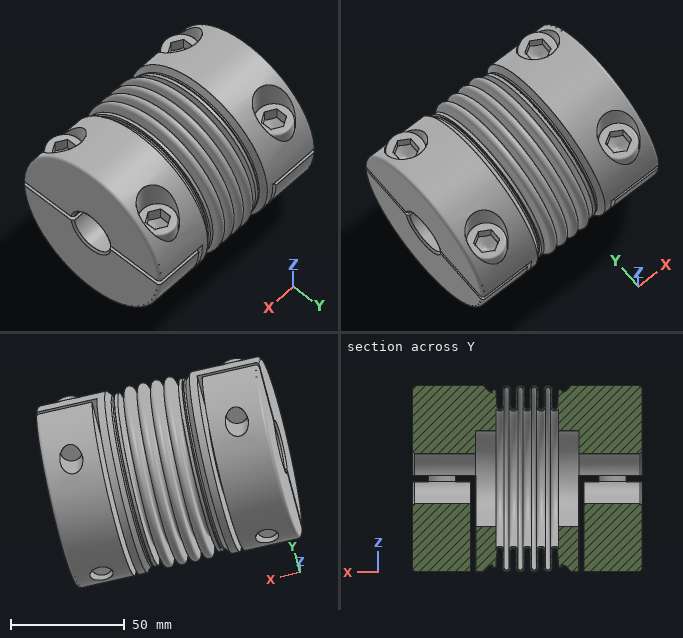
import cadquery as cq
import math

length = 100.9
outer_diameter = 82.0
half_length = length / 2
outer_radius = outer_diameter / 2
end_fillet = 1.6

bore_diameter = 21.8
bore_chamfer = 1.0
cavity_radius = 21.0

shoulder_x = 19.2
neck_start_x = 16.8
neck_end_x = 16.0
collar_start_x = 15.3
collar_end_x = 13.7
neck_radius = 76.8 / 2
collar_radius = 78.0 / 2
neck_chamfer_drop = 0.7

split_width = 2.6
cross_slot_inner_x = 22.7
cross_slot_width = 2.2

crest_count = 4
crest_pitch = 6.1
sheet_thickness = 0.86
crest_outer_radius = (crest_pitch / 2 + sheet_thickness) / 2
crest_inner_radius = crest_outer_radius - sheet_thickness
valley_bottom_radius = 30.6
crest_center_radius = outer_radius - crest_outer_radius
valley_center_radius = valley_bottom_radius + crest_inner_radius

screw_x = 37.4
screw_y = 27.9
shank_diameter = 12.0
clearance_diameter = 12.5
head_diameter = 18.0
head_height = shank_diameter
head_top_z = 23.0
head_fillet = 1.0
screw_length = 30.0
counterbore_diameter = 19.0
thread_hole_diameter = 10.1
hex_across_flats = 10.0
hex_depth = 6.0
hex_tip_angle = 120.0
head_seat_z = head_top_z - head_height


def cylinder_z(diameter, z_start, z_end):
    """Upright cylinder on the Z axis between two heights."""
    return cq.Workplane("XY").workplane(offset=z_start).circle(diameter / 2).extrude(z_end - z_start)


def revolve_about_x(profile):
    """Turn a closed (x, radius) profile around the X axis."""
    return profile.close().revolve(360, (0, 0, 0), (1, 0, 0))


def make_hub():
    """Turned hub at the -X end, before slots and screw holes."""
    bore_radius = bore_diameter / 2
    fillet_mid = end_fillet * (1 - math.sqrt(0.5))
    profile = (
        cq.Workplane("XY")
        .moveTo(-half_length, bore_radius + bore_chamfer)
        .lineTo(-half_length, outer_radius - end_fillet)
        .threePointArc(
            (-half_length + fillet_mid, outer_radius - fillet_mid),
            (-half_length + end_fillet, outer_radius),
        )
        .lineTo(-shoulder_x, outer_radius)
        .lineTo(-neck_start_x, neck_radius)
        .lineTo(-neck_end_x, neck_radius)
        .lineTo(-collar_start_x, neck_radius - neck_chamfer_drop)
        .lineTo(-collar_start_x, collar_radius)
        .lineTo(-collar_end_x, collar_radius)
        .lineTo(-collar_end_x, cavity_radius)
        .lineTo(-cross_slot_inner_x, cavity_radius)
        .lineTo(-cross_slot_inner_x, bore_radius)
        .lineTo(-half_length + bore_chamfer, bore_radius)
    )
    return revolve_about_x(profile)


def cut_clamp_slots(hub):
    """Split the hub along its middle plane and free the lower half with a cross slot."""
    slot_length = half_length - cross_slot_inner_x
    split = cq.Workplane("XY").box(slot_length, outer_diameter, split_width)
    split = split.translate((-half_length + slot_length / 2, 0, 0))
    cross = cq.Workplane("XY").box(cross_slot_width, outer_diameter, outer_radius)
    cross = cross.translate((-cross_slot_inner_x - cross_slot_width / 2, 0, -outer_radius / 2))
    return hub.cut(split).cut(cross)


def make_screw_hole():
    """Counterbore and clearance in the upper half, thread hole through the lower half."""
    counterbore = cylinder_z(counterbore_diameter, head_seat_z, outer_radius)
    clearance = cylinder_z(clearance_diameter, 0, head_seat_z)
    thread_hole = cylinder_z(thread_hole_diameter, -outer_radius, 0)
    return counterbore.union(clearance).union(thread_hole)


def make_screw():
    """Socket head screw with a hexagon socket that ends in a cone."""
    head = cylinder_z(head_diameter, head_seat_z, head_top_z).faces(">Z").edges().fillet(head_fillet)
    shank = cylinder_z(shank_diameter, head_seat_z - screw_length, head_seat_z)
    corner_radius = hex_across_flats / math.sqrt(3)
    tip_depth = corner_radius / math.tan(math.radians(hex_tip_angle / 2))
    socket_bottom_z = head_top_z - hex_depth
    hexagon = (
        cq.Workplane("XY")
        .workplane(offset=head_top_z)
        .transformed(rotate=(0, 0, 90))
        .polygon(6, 2 * corner_radius)
        .extrude(-hex_depth - tip_depth)
    )
    drill = (
        cq.Workplane("XZ")
        .moveTo(0, head_top_z)
        .lineTo(corner_radius, head_top_z)
        .lineTo(corner_radius, socket_bottom_z)
        .lineTo(0, socket_bottom_z - tip_depth)
        .close()
        .revolve(360, (0, 0, 0), (0, 1, 0))
    )
    return head.union(shank).cut(hexagon.intersect(drill))


def make_clamp_hub():
    """Complete hub at the -X end with its two screws."""
    hub = cut_clamp_slots(make_hub())
    hole = make_screw_hole()
    screw = make_screw()
    for y in (-screw_y, screw_y):
        hub = hub.cut(hole.translate((-screw_x, y, 0)))
        hub = hub.union(screw.translate((-screw_x, y, 0)))
    return hub


def make_bellows():
    """Convoluted sheet between the two hub collars."""
    first_valley_x = -crest_count * crest_pitch / 2
    buried_x = first_valley_x - crest_outer_radius
    half_turns = 2 * crest_count + 1

    profile = cq.Workplane("XY").moveTo(-collar_end_x, collar_radius)
    for i in range(half_turns):
        x = first_valley_x + i * crest_pitch / 2
        if i % 2 == 0:
            radius, center, side = crest_inner_radius, valley_center_radius, -1
        else:
            radius, center, side = crest_outer_radius, crest_center_radius, 1
        profile = profile.lineTo(x - radius, center)
        profile = profile.threePointArc((x, center + side * radius), (x + radius, center))
    profile = profile.lineTo(collar_end_x, collar_radius)
    profile = profile.lineTo(-buried_x, collar_radius)

    for i in reversed(range(half_turns)):
        x = first_valley_x + i * crest_pitch / 2
        if i % 2 == 0:
            radius, center, side = crest_outer_radius, valley_center_radius, -1
        else:
            radius, center, side = crest_inner_radius, crest_center_radius, 1
        profile = profile.lineTo(x + radius, center)
        profile = profile.threePointArc((x, center + side * radius), (x - radius, center))
    profile = profile.lineTo(buried_x, collar_radius)
    return revolve_about_x(profile)


clamp_hub = make_clamp_hub()
result = clamp_hub.union(clamp_hub.mirror("YZ")).union(make_bellows())